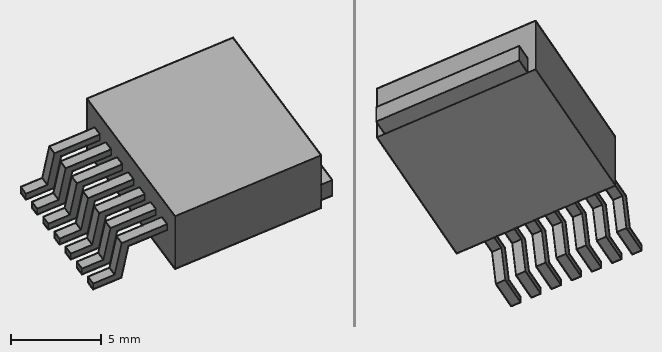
import cadquery as cq

total_length = 14.95
housing_width = 10.0
housing_height = 4.4

tab_width = 9.0
tab_length = 0.99
tab_height = 1.3

lead_count = 7
lead_pitch = 1.27
lead_width = 0.6
lead_thickness = 0.5
lead_reach = 4.7
lead_top = 2.87
foot_bottom_length = 1.8
foot_top_length = 1.36
leg_run = 0.45

housing_length = total_length - lead_reach - tab_length
tab_front = lead_reach + housing_length


def make_housing():
    return cq.Workplane("XY").box(
        housing_width, housing_length, housing_height, centered=(True, False, False)
    ).translate((0, lead_reach, 0))


def make_tab():
    return cq.Workplane("XY").box(
        tab_width, tab_length, tab_height, centered=(True, False, False)
    ).translate((0, tab_front, 0))


def make_lead(x_center):
    """One bent lead: level shoulder, sloping leg and flat foot."""
    profile = [
        (lead_reach, lead_top),
        (foot_top_length + leg_run, lead_top),
        (foot_top_length, lead_thickness),
        (0, lead_thickness),
        (0, 0),
        (foot_bottom_length, 0),
        (foot_bottom_length + leg_run, lead_top - lead_thickness),
        (lead_reach, lead_top - lead_thickness),
    ]
    lead = cq.Workplane("YZ").polyline(profile).close().extrude(lead_width / 2, both=True)
    return lead.translate((x_center, 0, 0))


leaded_housing = make_housing()
for index in range(lead_count):
    lead_x = (index - (lead_count - 1) / 2) * lead_pitch
    leaded_housing = leaded_housing.union(make_lead(lead_x))

tab = make_tab()

result = cq.Compound.makeCompound([leaded_housing.solids().val(), tab.val()])